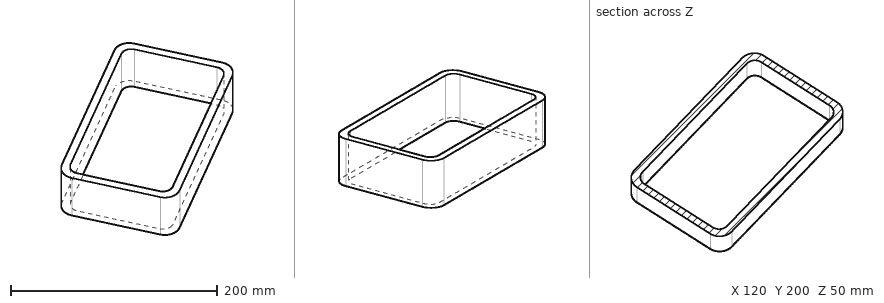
import cadquery as cq

width = 120.0
length = 200.0
height = 50.0

wall = 8.0
outer_radius = 15.0
inner_radius = 10.0


def rounded_block(size_x, size_y, corner_radius):
    """Upright block, centred on the Z axis, with rounded vertical edges."""
    block = cq.Workplane("XY").box(size_x, size_y, height, centered=(True, True, False))
    return block.edges("|Z").fillet(corner_radius)


outer_body = rounded_block(width, length, outer_radius)
opening = rounded_block(width - 2 * wall, length - 2 * wall, inner_radius)

result = outer_body.cut(opening)